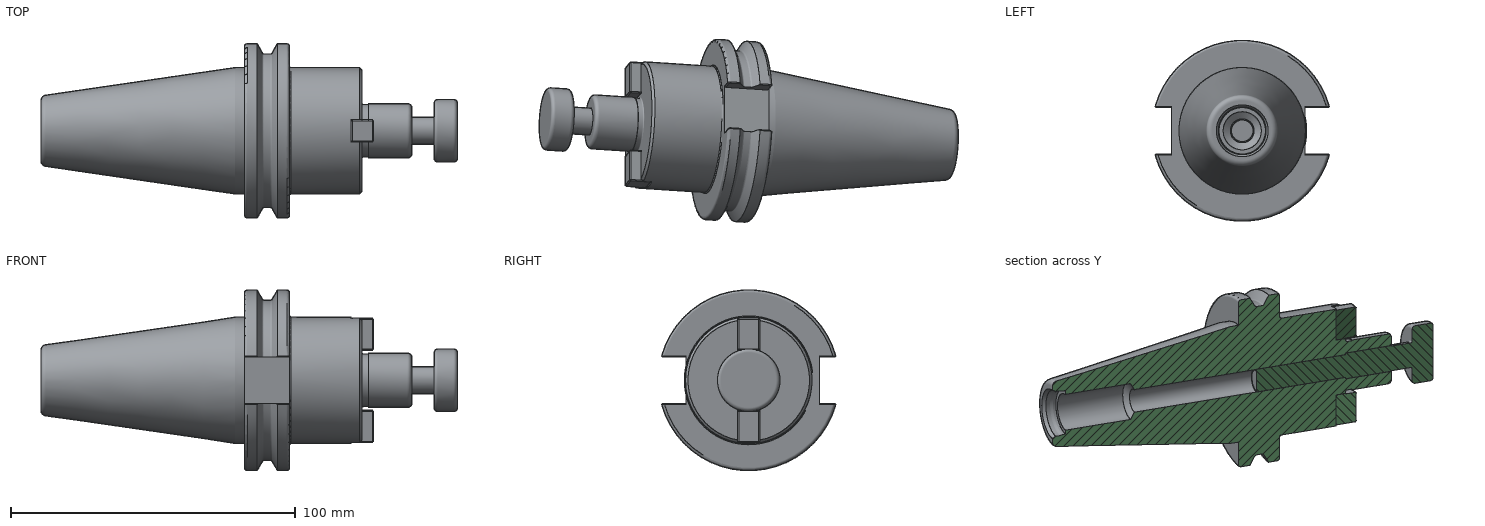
import cadquery as cq
import math

gauge_dia = 44.45
taper_rate = 7 / 24
taper_length = 68.25
shank_end_fillet = 2.0
rear_x = -taper_length
rear_dia = gauge_dia - taper_length * taper_rate

flange_dia = 63.5
flange_start = 3.175
flange_end = 19.05
rim_fillet = 1.0
groove_x = 11.2
groove_dia = 56.36
groove_floor_width = 3.0
groove_wall_angle = 30
groove_floor_fillet = 0.6
groove_depth = (flange_dia - groove_dia) / 2
groove_mouth_width = groove_floor_width + 2 * groove_depth * math.tan(math.radians(groove_wall_angle))

slot_width = 16.3
slot_edge_chamfer = 0.43
deep_slot_floor = 22.1
shallow_slot_floor = 24.9

nose_end = 44.45
nose_chamfer = 0.9
root_fillet = 0.4
pilot_dia = 19.05
pilot_end = 61.95
pilot_end_fillet = 1.4
relief_dia = 18.55
relief_length = 2.2

bore_mouth_dia = 18.2
bore_relief_dia = 16.8
bore_relief_start = 1.3
bore_relief_end = 3.0
counterbore_dia = 16.3
counterbore_start = 4.0
counterbore_end = 5.0
thread_dia = 13.39
thread_depth = 30.0
drill_point_angle = 118

screw_thread_dia = 8.38
screw_shank_dia = 9.53
screw_head_dia = 22.0
screw_head_start = 69.75
screw_end = 78.0
screw_head_fillet = 1.3
screw_neck_fillet = 0.4
screw_tip_chamfer = 0.4
screw_thread_end = nose_end
screw_tip = 10.0

key_size = 7.8
key_chamfer = 0.4
key_outer = 21.8
key_inner = 10.5
key_end = 48.45
key_sides = (1, -1)

MATCH = 1e-3


def cylinder(dia, start, end):
    """Cylinder on the X axis from start to end."""
    return cq.Workplane("YZ", origin=(start, 0, 0)).circle(dia / 2).extrude(end - start)


def revolve_profile(points):
    """Solid of revolution from (x, radius) points that start and end on the axis."""
    return cq.Workplane("XY").polyline(points).close().revolve(360, (0, 0, 0), (1, 0, 0))


def round_edges(body, x, dia):
    """Select the full circular edges of a given diameter at position x along the axis."""
    return body.edges("%CIRCLE").filter(
        lambda edge: abs(edge.Center().x - x) < MATCH and abs(2 * edge.radius() - dia) < MATCH
    )


def make_shank():
    """Taper with a short straight collar up to the flange."""
    shank = revolve_profile([
        (rear_x, 0),
        (rear_x, rear_dia / 2),
        (0, gauge_dia / 2),
        (flange_start, gauge_dia / 2),
        (flange_start, 0),
    ])
    return shank.faces("<X").edges().fillet(shank_end_fillet)


def make_drive_slot(side, floor):
    """Cutter for a slot open on one side: side is +1 for +Y and -1 for -Y."""
    depth = flange_dia / 2
    return cq.Workplane("XY").box(
        flange_end - flange_start, depth, slot_width
    ).translate(((flange_start + flange_end) / 2, side * (floor + depth / 2), 0))


def make_groove():
    """Cutter for the V-groove, with rounded corners along its floor."""
    mouth_radius = flange_dia / 2
    floor_radius = groove_dia / 2
    groove = revolve_profile([
        (groove_x - groove_mouth_width / 2, 0),
        (groove_x - groove_mouth_width / 2, mouth_radius),
        (groove_x + groove_mouth_width / 2, mouth_radius),
        (groove_x + groove_mouth_width / 2, 0),
    ])
    core = revolve_profile([
        (groove_x - groove_mouth_width / 2, 0),
        (groove_x - groove_mouth_width / 2, mouth_radius),
        (groove_x - groove_floor_width / 2, floor_radius),
        (groove_x + groove_floor_width / 2, floor_radius),
        (groove_x + groove_mouth_width / 2, mouth_radius),
        (groove_x + groove_mouth_width / 2, 0),
    ])
    for side in (-1, 1):
        corner_x = groove_x + side * groove_floor_width / 2
        core = round_edges(core, corner_x, groove_dia).fillet(groove_floor_fillet)
    return groove.cut(core)


def make_nose():
    """Nose cylinder with the pilot, which has a relief behind it at the nose face."""
    nose = cylinder(gauge_dia, flange_end, nose_end).faces(">X").edges().chamfer(nose_chamfer)
    relief = cylinder(relief_dia, nose_end, nose_end + relief_length)
    pilot = cylinder(pilot_dia, nose_end + relief_length, pilot_end)
    pilot = pilot.faces(">X").edges().fillet(pilot_end_fillet)
    nose = nose.union(relief).union(pilot)
    return round_edges(nose, nose_end, relief_dia).fillet(root_fillet)


def make_flange_and_nose():
    """Flange joined to the nose, then slotted, with the slot edges broken, and grooved."""
    flange = cylinder(flange_dia, flange_start, flange_end).edges().fillet(rim_fillet)
    body = flange.union(make_nose())
    body = round_edges(body, flange_end, gauge_dia).fillet(root_fillet)
    for side, floor in ((-1, deep_slot_floor), (1, shallow_slot_floor)):
        body = body.cut(make_drive_slot(side, floor))
    flange_middle = (flange_start + flange_end) / 2
    wall_edges = body.faces("|Z").edges().filter(
        lambda edge: abs(edge.Center().y) > shallow_slot_floor + MATCH
        or abs(edge.Center().x - flange_middle) > MATCH
    )
    return wall_edges.chamfer(slot_edge_chamfer).cut(make_groove())


def make_rear_bore():
    """Cutter for the chamfered counterbore, thread bore, cone and screw thread hole."""
    cone_start = rear_x + thread_depth
    cone_length = (thread_dia - screw_thread_dia) / 2 / math.tan(math.radians(drill_point_angle / 2))
    return revolve_profile([
        (rear_x, 0),
        (rear_x, bore_mouth_dia / 2),
        (rear_x + bore_relief_start, bore_relief_dia / 2),
        (rear_x + bore_relief_end, bore_relief_dia / 2),
        (rear_x + counterbore_start, counterbore_dia / 2),
        (rear_x + counterbore_end, counterbore_dia / 2),
        (rear_x + counterbore_end, thread_dia / 2),
        (cone_start, thread_dia / 2),
        (cone_start + cone_length, screw_thread_dia / 2),
        (screw_tip, screw_thread_dia / 2),
        (screw_tip, 0),
    ])


def make_screw():
    """Stepped screw with a rounded head standing clear of the pilot."""
    thread = cylinder(screw_thread_dia, screw_tip, screw_thread_end)
    thread = thread.faces("<X").edges().chamfer(screw_tip_chamfer)
    shank = cylinder(screw_shank_dia, screw_thread_end, screw_head_start)
    head = cylinder(screw_head_dia, screw_head_start, screw_end).edges().fillet(screw_head_fillet)
    screw = thread.union(shank).union(head)
    return round_edges(screw, screw_head_start, screw_shank_dia).fillet(screw_neck_fillet)


def make_key_block(side, outer):
    """Square block in the nose face, standing out to a given height on the +Z or -Z side."""
    return cq.Workplane("XY").box(
        key_size, key_size, outer - key_inner
    ).translate((key_end - key_size / 2, 0, side * (outer + key_inner) / 2))


def make_key(side):
    """Drive key with all its edges broken."""
    return make_key_block(side, key_outer).edges().chamfer(key_chamfer)


def make_key_pocket(side):
    """Cutter for a key pocket, open to the outside of the nose."""
    return make_key_block(side, flange_dia / 2)


def make_arbor():
    """Taper shank, flange and nose in one piece, with the key pockets and the rear bore."""
    arbor = make_shank().union(make_flange_and_nose())
    for side in key_sides:
        arbor = arbor.cut(make_key_pocket(side))
    return arbor.cut(make_rear_bore())


screw = make_screw()
arbor = make_arbor().cut(screw)
keys = [make_key(side) for side in key_sides]

result = cq.Compound.makeCompound([arbor.val(), screw.val(), *[key.val() for key in keys]])